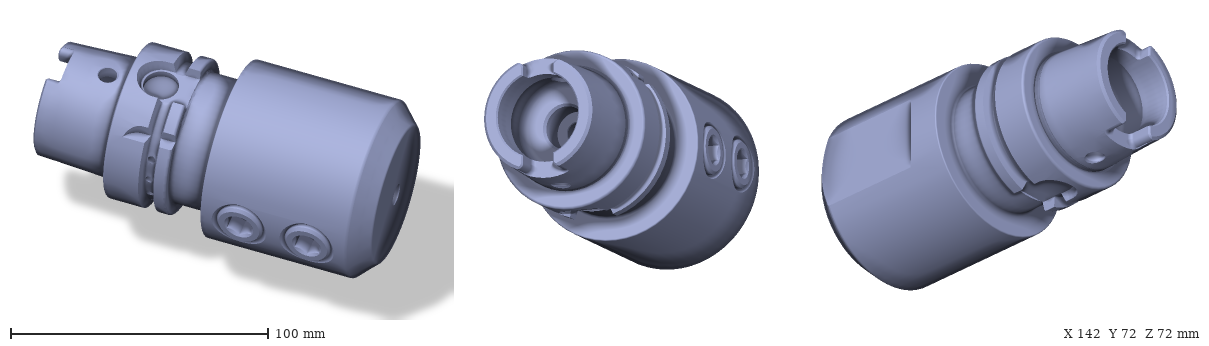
import cadquery as cq
import math


shank_end_x = -32.0
taper_gauge_x = -6.3
taper_gauge_radius = 24.15
taper_slope = 1 / 20
shank_end_chamfer = 0.9
shank_face_radius = 21.7
relief_start_x = -2.1
relief_end_x = -0.4
relief_depth = 0.2
face_recess_radius = 25.4
face_recess_depth = 0.4

flange_radius = 31.5
flange_end_x = 26.0
groove_floor_radius = 27.5
groove_center_x = 17.9
groove_floor_width = 3.4
groove_mouth_width = 6.3
groove_fillet = 0.4
flange_edge_fillet = 1.0

neck_radius = 26.5
neck_fillet = 0.9
body_start_x = 42.0
body_end_x = 110.0
body_radius = 36.0
body_rear_fillet = 0.5
nose_chamfer = 8.0
nose_fillet = 1.5

flat_y = 32.6
flat_ramp_start_x = 55.0

socket_radius = 17.0
socket_chamfer = 0.6
clamp_groove_start_x = -18.5
clamp_groove_radius = 18.5
clamp_groove_end_x = -7.5
socket_floor_radius = 15.5
tube_seat_radius = 8.5
tube_seat_chamfer = 1.0
tube_seat_depth = 12.0
coolant_radius = 4.3
coolant_chamfer = 0.3

drive_slot_width = 12.54
drive_slot_depth_top = 6.1
drive_slot_depth_bottom = 10.0
drive_slot_corner_radius = 1.5
drive_slot_edge_round = 2.2
drive_slot_mouth_chamfer = 0.7

cross_hole_x = -9.2
cross_hole_radius = 3.7
cross_hole_chamfer = 0.5

keyway_center_x = 12.85
keyway_floor_z = 26.5
keyway_floor_radius = 7.9
keyway_mouth_radius = 9.5
chip_recess_radius = 7.0
chip_recess_depth = 3.0
notch_wall_y = -20.0
notch_floor_z = 20.0
notch_cutter_radius = 8.0

balance_hole_radius = 1.5
balance_hole_depth = 8.0
balance_hole_angles = (25, 5, -15, -35)

screw_positions_x = (58.0, 86.0)
screw_radius = 9.5
screw_face_y = -36.0
screw_length = 20.0
screw_chamfer = 1.1
screw_hole_chamfer = 1.7
hex_across_flats = 10.0
hex_depth = 8.0
hex_mouth_radius = 6.0

overshoot = 1.0
selection_margin = 0.1


def taper_radius(x):
    return taper_gauge_radius + (x - taper_gauge_x) * taper_slope


def turned(profile):
    """Solid of revolution of an XY profile about the X axis."""
    return profile.revolve(360, (0, 0, 0), (1, 0, 0))


def rings_between(start_x, end_x, radius):
    """Selector for edges that lie between two X positions and within a radius of the axis."""
    reach = radius + selection_margin
    return cq.selectors.BoxSelector(
        (start_x - selection_margin, -reach, -reach),
        (end_x + selection_margin, reach, reach),
        boundingbox=True,
    )


def make_blank():
    """Outside of the holder, turned in one piece."""
    chamfer_x = shank_end_x + shank_end_chamfer
    relief_radius = taper_radius(relief_start_x)
    relief_step = (relief_end_x - relief_start_x) / 4
    groove_mouth = groove_mouth_width / 2
    groove_floor = groove_floor_width / 2
    fillet_diagonal = neck_fillet * (1 - math.sqrt(0.5))
    edge_diagonal = flange_edge_fillet * (1 - math.sqrt(0.5))
    rear_diagonal = body_rear_fillet * (1 - math.sqrt(0.5))

    profile = (
        cq.Workplane("XY")
        .moveTo(shank_end_x, 0)
        .lineTo(shank_end_x, shank_face_radius)
        .lineTo(chamfer_x, taper_radius(chamfer_x))
        .lineTo(relief_start_x, relief_radius)
        .lineTo(relief_start_x + relief_step, relief_radius - relief_depth)
        .lineTo(relief_end_x, relief_radius - relief_depth)
        .lineTo(face_recess_depth, relief_radius)
        .lineTo(0, face_recess_radius)
        .lineTo(0, flange_radius - flange_edge_fillet)
        .threePointArc((edge_diagonal, flange_radius - edge_diagonal), (flange_edge_fillet, flange_radius))
        .lineTo(groove_center_x - groove_mouth, flange_radius)
        .lineTo(groove_center_x - groove_floor, groove_floor_radius)
        .lineTo(groove_center_x + groove_floor, groove_floor_radius)
        .lineTo(groove_center_x + groove_mouth, flange_radius)
        .lineTo(flange_end_x - flange_edge_fillet, flange_radius)
        .threePointArc(
            (flange_end_x - edge_diagonal, flange_radius - edge_diagonal),
            (flange_end_x, flange_radius - flange_edge_fillet),
        )
        .lineTo(flange_end_x, neck_radius + neck_fillet)
        .threePointArc(
            (flange_end_x + fillet_diagonal, neck_radius + fillet_diagonal),
            (flange_end_x + neck_fillet, neck_radius),
        )
        .lineTo(body_start_x - neck_fillet, neck_radius)
        .threePointArc(
            (body_start_x - fillet_diagonal, neck_radius + fillet_diagonal),
            (body_start_x, neck_radius + neck_fillet),
        )
        .lineTo(body_start_x, body_radius - body_rear_fillet)
        .threePointArc(
            (body_start_x + rear_diagonal, body_radius - rear_diagonal),
            (body_start_x + body_rear_fillet, body_radius),
        )
        .lineTo(body_end_x - nose_chamfer, body_radius)
        .lineTo(body_end_x, body_radius - nose_chamfer)
        .lineTo(body_end_x, 0)
        .close()
    )
    blank = turned(profile)
    nose_rings = rings_between(body_end_x - nose_chamfer, body_end_x, body_radius)
    groove_rings = rings_between(
        groove_center_x - groove_floor,
        groove_center_x + groove_floor,
        groove_floor_radius,
    )
    blank = blank.edges(nose_rings).edges("%CIRCLE").fillet(nose_fillet)
    return blank.edges(groove_rings).edges("%CIRCLE").fillet(groove_fillet)


def make_socket():
    """Hollow inside of the shank and the coolant passage along the whole axis."""
    floor_fillet = clamp_groove_radius - socket_floor_radius
    floor_x = clamp_groove_end_x + floor_fillet
    arc_rise = floor_fillet * math.sqrt(0.5)
    seat_end_x = floor_x + tube_seat_depth
    profile = (
        cq.Workplane("XY")
        .moveTo(shank_end_x, 0)
        .lineTo(shank_end_x, socket_radius + socket_chamfer)
        .lineTo(shank_end_x + socket_chamfer, socket_radius)
        .lineTo(clamp_groove_start_x, socket_radius)
        .lineTo(clamp_groove_start_x, clamp_groove_radius)
        .lineTo(clamp_groove_end_x, clamp_groove_radius)
        .threePointArc(
            (clamp_groove_end_x + arc_rise, socket_floor_radius + arc_rise),
            (floor_x, socket_floor_radius),
        )
        .lineTo(floor_x, tube_seat_radius + tube_seat_chamfer)
        .lineTo(floor_x + tube_seat_chamfer, tube_seat_radius)
        .lineTo(seat_end_x, tube_seat_radius)
        .lineTo(seat_end_x, coolant_radius + coolant_chamfer)
        .lineTo(seat_end_x + coolant_chamfer, coolant_radius)
        .lineTo(body_end_x, coolant_radius)
        .lineTo(body_end_x, 0)
        .close()
    )
    return turned(profile)


def drive_slot_section(x, widening=0.0):
    """Slot section across X: straight walls that round off into the outside of the shank."""
    half_width = drive_slot_width / 2 + widening
    edge_round = drive_slot_edge_round - widening
    round_y = half_width + edge_round
    round_distance = taper_radius(shank_end_x) - drive_slot_edge_round
    round_z = math.sqrt(round_distance**2 - round_y**2)
    tangent_angle = math.atan2(round_z, round_y)
    middle_angle = (tangent_angle + math.pi) / 2
    middle_y = round_y + edge_round * math.cos(middle_angle)
    middle_z = round_z + edge_round * math.sin(middle_angle)
    tangent_y = round_y + edge_round * math.cos(tangent_angle)
    tangent_z = round_z + edge_round * math.sin(tangent_angle)
    top_z = taper_gauge_radius + overshoot
    return (
        cq.Workplane("YZ", origin=(x, 0, 0))
        .moveTo(-half_width, 0)
        .lineTo(half_width, 0)
        .lineTo(half_width, round_z)
        .threePointArc((middle_y, middle_z), (tangent_y, tangent_z))
        .lineTo(tangent_y, top_z)
        .lineTo(-tangent_y, top_z)
        .lineTo(-tangent_y, tangent_z)
        .threePointArc((-middle_y, middle_z), (-half_width, round_z))
        .close()
    )


def make_drive_slot(depth):
    """Cutter for one drive slot, with rounded inner corners and a chamfered mouth."""
    slot = drive_slot_section(shank_end_x).extrude(depth)
    side_walls = cq.selectors.BoxSelector(
        (shank_end_x + depth / 2, -body_radius, overshoot),
        (body_end_x, body_radius, taper_gauge_radius),
    )
    slot = slot.faces(">X").edges(side_walls).fillet(drive_slot_corner_radius)
    wide_section = drive_slot_section(shank_end_x, drive_slot_mouth_chamfer)
    narrow_section = drive_slot_section(shank_end_x + drive_slot_mouth_chamfer)
    mouth = cq.Solid.makeLoft([wide_section.val(), narrow_section.val()], True)
    return slot.union(cq.Workplane(mouth))


def make_drive_slots():
    top_slot = make_drive_slot(drive_slot_depth_top)
    bottom_slot = make_drive_slot(drive_slot_depth_bottom)
    return top_slot.add(bottom_slot.rotate((0, 0, 0), (1, 0, 0), 180)).combine()


def make_cross_hole():
    """Hole through both walls of the shank, chamfered outside."""
    surface_z = taper_radius(cross_hole_x)
    hole = (
        cq.Workplane("XY", origin=(cross_hole_x, 0, 0))
        .circle(cross_hole_radius)
        .extrude(body_radius, both=True)
    )
    mouth_radius = cross_hole_radius + cross_hole_chamfer
    for direction in (1, -1):
        mouth = cq.Solid.makeCone(
            mouth_radius + overshoot,
            cross_hole_radius,
            overshoot + cross_hole_chamfer,
            pnt=cq.Vector(cross_hole_x, 0, direction * (surface_z + overshoot)),
            dir=cq.Vector(0, 0, -direction),
        )
        hole = hole.union(cq.Workplane(mouth))
    return hole


def make_keyway():
    """Tapered keyway with a round end, open toward the neck."""
    height = flange_radius - keyway_floor_z
    taper_angle = math.degrees(math.atan2(keyway_mouth_radius - keyway_floor_radius, height))
    run_out = 2 * flange_end_x
    keyway = (
        cq.Workplane("XY", origin=(keyway_center_x, 0, keyway_floor_z))
        .moveTo(0, keyway_floor_radius)
        .threePointArc((-keyway_floor_radius, 0), (0, -keyway_floor_radius))
        .lineTo(run_out, -keyway_floor_radius)
        .lineTo(run_out, keyway_floor_radius)
        .close()
        .extrude(height + overshoot, taper=-taper_angle)
    )
    return keyway.intersect(flange_envelope())


def flange_envelope():
    """Block that ends at the rear face of the flange."""
    return cq.Workplane("XY").box(2 * flange_end_x, 2 * body_radius, 2 * body_radius)


def make_chip_recess():
    return (
        cq.Workplane("XY", origin=(keyway_center_x, 0, keyway_floor_z - chip_recess_depth))
        .circle(chip_recess_radius)
        .extrude(chip_recess_depth + overshoot)
    )


def make_orientation_notch():
    """Square corner cut into the flange rim, with a round front end."""
    outer_y = notch_wall_y - 2 * notch_cutter_radius
    front_x = keyway_center_x - notch_cutter_radius
    return (
        cq.Workplane("XY", origin=(0, 0, notch_floor_z))
        .moveTo(flange_end_x, notch_wall_y)
        .lineTo(keyway_center_x, notch_wall_y)
        .threePointArc((front_x, notch_wall_y - notch_cutter_radius), (keyway_center_x, outer_y))
        .lineTo(flange_end_x, outer_y)
        .close()
        .extrude(flange_radius - notch_floor_z)
    )


def make_balance_hole(angle):
    """Radial hole in the groove floor, turned up from -Y toward +Z by the angle."""
    hole = (
        cq.Workplane("XZ", origin=(groove_center_x, -groove_floor_radius + balance_hole_depth, 0))
        .circle(balance_hole_radius)
        .extrude(balance_hole_depth + overshoot)
    )
    return hole.rotate((0, 0, 0), (1, 0, 0), -angle)


def make_body_flat():
    """Cutter for the +Y flat with its 45 degree ramp."""
    ramp = body_radius - flat_y
    outer_y = body_radius + overshoot
    return (
        cq.Workplane("XY")
        .polyline([
            (flat_ramp_start_x - overshoot, outer_y),
            (flat_ramp_start_x + ramp, flat_y),
            (body_end_x, flat_y),
            (body_end_x, outer_y),
        ])
        .close()
        .extrude(body_radius, both=True)
    )


def cut_screw_hole(housing, x):
    """Blind hole for one clamping screw, with its edge chamfered along the round body."""
    bottom_y = screw_face_y + screw_length
    hole = (
        cq.Workplane("XZ", origin=(x, bottom_y, 0))
        .circle(screw_radius)
        .extrude(body_radius + bottom_y + overshoot)
    )
    rim = cq.selectors.BoxSelector(
        (x - screw_radius - overshoot, -body_radius - overshoot, -screw_radius - overshoot),
        (x + screw_radius + overshoot, screw_radius - body_radius, screw_radius + overshoot),
        boundingbox=True,
    )
    return housing.cut(hole).edges(rim).chamfer(screw_hole_chamfer)


def make_housing():
    housing = make_blank().cut(make_body_flat())
    for x in screw_positions_x:
        housing = cut_screw_hole(housing, x)
    keyway = make_keyway()
    cutters = [
        make_socket(),
        make_drive_slots(),
        make_cross_hole(),
        keyway,
        keyway.mirror("XY"),
        make_chip_recess(),
        make_orientation_notch(),
    ]
    for angle in balance_hole_angles:
        cutters.append(make_balance_hole(angle))
    for cutter in cutters:
        housing = housing.cut(cutter)
    return housing


def make_screw(x):
    """Set screw with a chamfered outer end and a hexagon socket."""
    screw = (
        cq.Workplane("XZ", origin=(x, screw_face_y + screw_length, 0))
        .circle(screw_radius)
        .extrude(screw_length)
        .faces("<Y")
        .chamfer(screw_chamfer)
    )
    hex_across_corners = hex_across_flats / math.cos(math.radians(30))
    hexagon = (
        cq.Workplane("XZ", origin=(x, screw_face_y + hex_depth, 0))
        .transformed(rotate=(0, 0, 90))
        .polygon(6, hex_across_corners)
        .extrude(hex_depth)
    )
    mouth_depth = hex_mouth_radius - hex_across_flats / 2
    mouth = cq.Solid.makeCone(
        hex_mouth_radius,
        hex_across_flats / 2,
        mouth_depth,
        pnt=cq.Vector(x, screw_face_y, 0),
        dir=cq.Vector(0, 1, 0),
    )
    return screw.cut(hexagon).cut(cq.Workplane(mouth))


housing = make_housing()
screws = [make_screw(x) for x in screw_positions_x]
result = cq.Compound.makeCompound([housing.val(), *[screw.val() for screw in screws]])